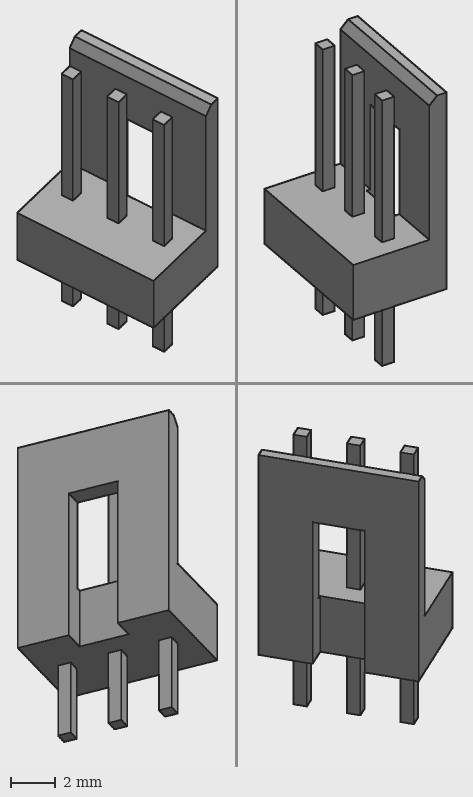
import cadquery as cq

width = 7.5
depth = 4.9
total_height = 14.0

tail_length = 3.63
base_height = 2.9

wall_thickness = 0.91
lip_chamfer = 0.4

slot_width = 2.44
slot_rise = 4.45
slot_reach = 0.2

pin_count = 3
pin_pitch = 2.5
pin_size = 0.63
pin_back_distance = 2.49

back_y = depth / 2
wall_front_y = back_y - wall_thickness
wall_height = total_height - tail_length
pin_y = back_y - pin_back_distance


def make_housing():
    """L-shaped profile with a chamfered top lip, extruded along X."""
    return (
        cq.Workplane("YZ")
        .moveTo(-back_y, 0)
        .lineTo(back_y, 0)
        .lineTo(back_y, wall_height)
        .lineTo(wall_front_y + lip_chamfer, wall_height)
        .lineTo(wall_front_y, wall_height - lip_chamfer)
        .lineTo(wall_front_y, base_height)
        .lineTo(-back_y, base_height)
        .close()
        .extrude(width / 2, both=True)
    )


def make_slot():
    """Cutter open to the back and bottom of the housing."""
    slot_depth = wall_thickness + slot_reach
    return (
        cq.Workplane("XY")
        .center(0, back_y - slot_depth / 2)
        .rect(slot_width, slot_depth)
        .extrude(base_height + slot_rise)
    )


def make_pins():
    """Row of full-height square pins."""
    return (
        cq.Workplane("XY", origin=(0, pin_y, -tail_length))
        .rarray(pin_pitch, 0.14, pin_count, 1)
        .rect(pin_size, pin_size)
        .extrude(total_height)
    )


result = make_housing().cut(make_slot()).union(make_pins())